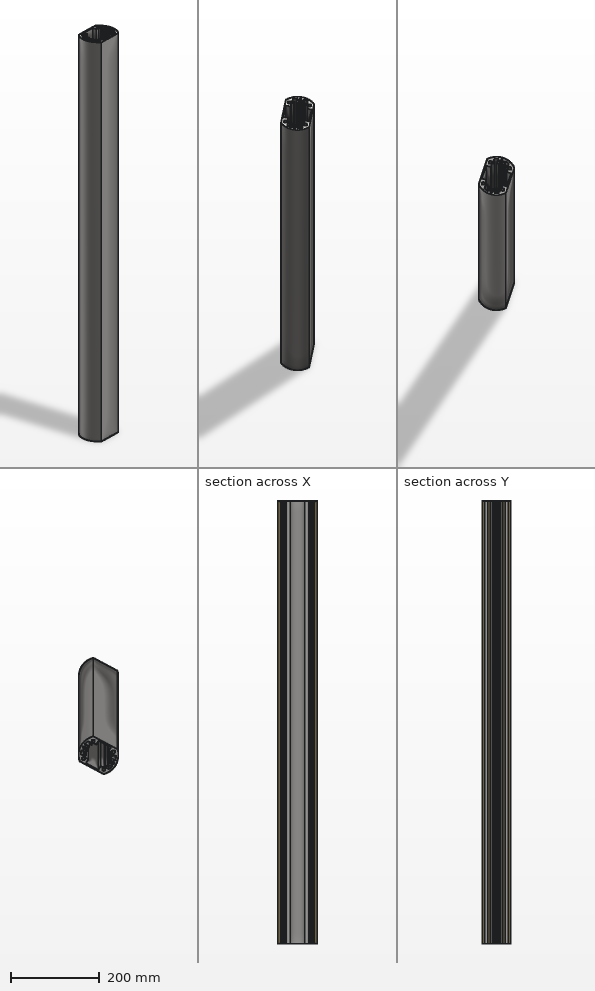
import cadquery as cq

length = 1000.0
width = 65.0
depth = 90.0
flat_half_height = 31.0

side_wall = 3.0
arc_wall = 5.0

block_inner_x = 19.0
block_inner_y = 16.0
hole_x = 23.0
hole_y = 26.0
hole_radius = 3.5
lip_inner_x = 13.0
lip_bottom_y = 25.0
lip_top_y = 29.0
lip_web_x = 17.0

rib_half_width = 8.0
rib_inner_y = 28.0
slot_half_width = 1.5
slot_top_y = 40.0
mouth_half_width = 4.0
mouth_top_y = 31.0
groove_half_width = 5.0
groove_bottom_y = 35.0
groove_top_y = 37.0


def round_ended_bar(half_width, end_y, corner_y):
    """Full-length bar with flat X sides joined by arcs across its Y ends."""
    return (
        cq.Workplane("XY")
        .moveTo(half_width, -corner_y)
        .lineTo(half_width, corner_y)
        .threePointArc((0, end_y), (-half_width, corner_y))
        .lineTo(-half_width, -corner_y)
        .threePointArc((0, -end_y), (half_width, -corner_y))
        .close()
        .extrude(length / 2, both=True)
    )


def bar(x_range, y_range):
    """Full-length rectangular bar spanning the given X and Y ranges."""
    x_min, x_max = sorted(x_range)
    y_min, y_max = sorted(y_range)
    return (
        cq.Workplane("XY")
        .box(x_max - x_min, y_max - y_min, length)
        .translate(((x_min + x_max) / 2, (y_min + y_max) / 2, 0))
    )


def corner_block(x_sign, y_sign):
    """Screw-hole block, its web up to the arc wall, and its lip."""
    def corner_bar(inner_x, outer_x, inner_y, outer_y):
        return bar((x_sign * inner_x, x_sign * outer_x), (y_sign * inner_y, y_sign * outer_y))

    block = corner_bar(block_inner_x, width / 2, block_inner_y, depth / 2)
    web = corner_bar(lip_web_x, width / 2, lip_bottom_y, depth / 2)
    lip = corner_bar(lip_inner_x, width / 2, lip_bottom_y, lip_top_y)
    return block.union(web).union(lip)


def central_rib(y_sign):
    """Slotted rib on the inside of one arc wall."""
    def centred_bar(half_width, inner_y, outer_y):
        return bar((-half_width, half_width), (y_sign * inner_y, y_sign * outer_y))

    rib = centred_bar(rib_half_width, rib_inner_y, depth / 2)
    rib = rib.cut(centred_bar(slot_half_width, rib_inner_y, slot_top_y))
    rib = rib.cut(centred_bar(mouth_half_width, rib_inner_y, mouth_top_y))
    return rib.cut(centred_bar(groove_half_width, groove_bottom_y, groove_top_y))


envelope = round_ended_bar(width / 2, depth / 2, flat_half_height)
cavity = round_ended_bar(width / 2 - side_wall, depth / 2 - arc_wall, flat_half_height - arc_wall)
result = envelope.cut(cavity)

for y_sign in (-1, 1):
    result = result.union(central_rib(y_sign).intersect(envelope))
    for x_sign in (-1, 1):
        result = result.union(corner_block(x_sign, y_sign).intersect(envelope))

hole_centres = [(x, y) for x in (-hole_x, hole_x) for y in (-hole_y, hole_y)]
holes = (
    cq.Workplane("XY")
    .pushPoints(hole_centres)
    .circle(hole_radius)
    .extrude(length / 2, both=True)
)
result = result.cut(holes)